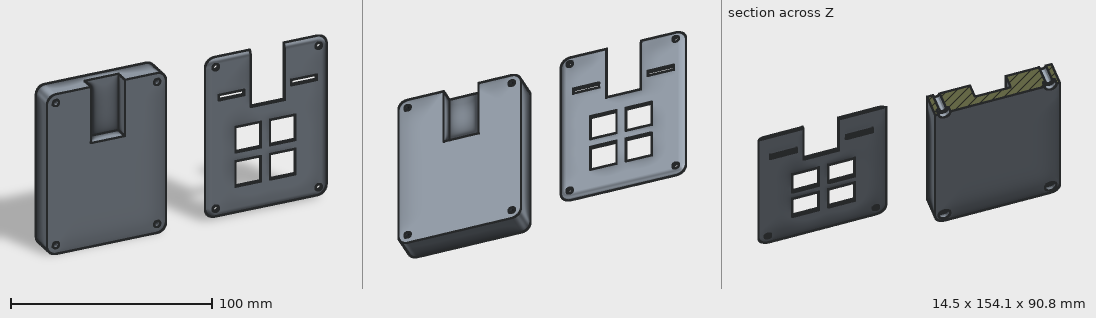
import cadquery as cq
import math

overall_thickness = 14.5
overall_length = 154.1
body_height = 88.5
hole_diameter = 3.4
notch_width = 18.6
notch_depth = 31.1
plate_thickness = 1.5

case_thickness = overall_thickness - plate_thickness
case_width = 65.6
case_corner_radius = 5.1
case_hole_inset = 5.0
counterbore_diameter = 6.0
counterbore_depth = 3.1
notch_ledge = 5.4
case_notch_center = 33.6

plate_width = 67.2
plate_bottom = 2.3
plate_top = plate_bottom + body_height
plate_center_y = overall_length - plate_width / 2
plate_center_z = plate_bottom + body_height / 2
plate_corner_radius = 5.5
plate_edge_radius = 5.0
plate_hole_center_y = 120.7
plate_hole_spacing_y = 56.7
plate_hole_spacing_z = 78.3
plate_notch_center = 121.0

switch_size = 14.0
switch_pitch = 19.0
switch_center_y = 119.7
switch_center_z = 33.7
slot_length = switch_size
slot_height = 3.0
slot_pitch = 39.9
slot_center_z = 68.4


def block(x_start, x_length, y_center, y_size, z_center, z_size):
    """Box from x_start along +X, centred on the given Y and Z."""
    return (
        cq.Workplane("YZ", origin=(x_start, y_center, z_center))
        .rect(y_size, z_size)
        .extrude(x_length)
    )


def round_holes(x_start, x_length, centers, diameter):
    """Round holes along X, one at each (Y, Z) centre."""
    return (
        cq.Workplane("YZ", origin=(x_start, 0, 0))
        .pushPoints(centers)
        .circle(diameter / 2)
        .extrude(x_length)
    )


def grid(center_y, center_z, spacing_y, spacing_z):
    """Four (Y, Z) points of a two-by-two grid."""
    return [
        (center_y + side_y * spacing_y / 2, center_z + side_z * spacing_z / 2)
        for side_y in (-1, 1)
        for side_z in (-1, 1)
    ]


def make_case():
    center_y = case_width / 2
    center_z = body_height / 2
    body = block(0, case_thickness, center_y, case_width, center_z, body_height)
    body = body.edges("|X").fillet(case_corner_radius)

    centers = grid(
        center_y, center_z,
        case_width - 2 * case_hole_inset, body_height - 2 * case_hole_inset,
    )
    body = body.cut(round_holes(0, case_thickness, centers, hole_diameter))
    body = body.cut(round_holes(0, counterbore_depth, centers, counterbore_diameter))

    notch = block(
        notch_ledge, case_thickness - notch_ledge,
        case_notch_center, notch_width,
        body_height - notch_depth / 2, notch_depth,
    )
    return body.cut(notch)


def make_plate_blank():
    """Sheet with rounded corners and a +X rim rounded by a radius larger than its thickness."""
    trimmed_part = plate_edge_radius - plate_thickness
    rim_setback = plate_edge_radius - math.sqrt(plate_edge_radius**2 - trimmed_part**2)
    thick_width = plate_width + 2 * rim_setback
    thick_height = body_height + 2 * rim_setback
    sheet = block(
        case_thickness - plate_edge_radius, plate_edge_radius + plate_thickness,
        plate_center_y, thick_width, plate_center_z, thick_height,
    )
    sheet = sheet.edges("|X").fillet(plate_corner_radius + rim_setback)
    sheet = sheet.faces(">X").edges().fillet(plate_edge_radius)
    kept_region = block(
        case_thickness, plate_thickness,
        plate_center_y, thick_width, plate_center_z, thick_height,
    )
    return sheet.intersect(kept_region)


def plate_opening(y_center, y_size, z_center, z_size):
    """Rectangular cutter through the full plate thickness."""
    return block(case_thickness, plate_thickness, y_center, y_size, z_center, z_size)


def make_plate():
    plate = make_plate_blank()

    centers = grid(plate_hole_center_y, plate_center_z, plate_hole_spacing_y, plate_hole_spacing_z)
    plate = plate.cut(round_holes(case_thickness, plate_thickness, centers, hole_diameter))

    plate = plate.cut(plate_opening(
        plate_notch_center, notch_width,
        plate_top - notch_depth / 2, notch_depth,
    ))

    for y, z in grid(switch_center_y, switch_center_z, switch_pitch, switch_pitch):
        plate = plate.cut(plate_opening(y, switch_size, z, switch_size))

    for side in (-1, 1):
        y = plate_notch_center + side * slot_pitch / 2
        plate = plate.cut(plate_opening(y, slot_length, slot_center_z, slot_height))
    return plate


case = make_case()
plate = make_plate()
result = cq.Compound.makeCompound([case.val(), plate.val()])